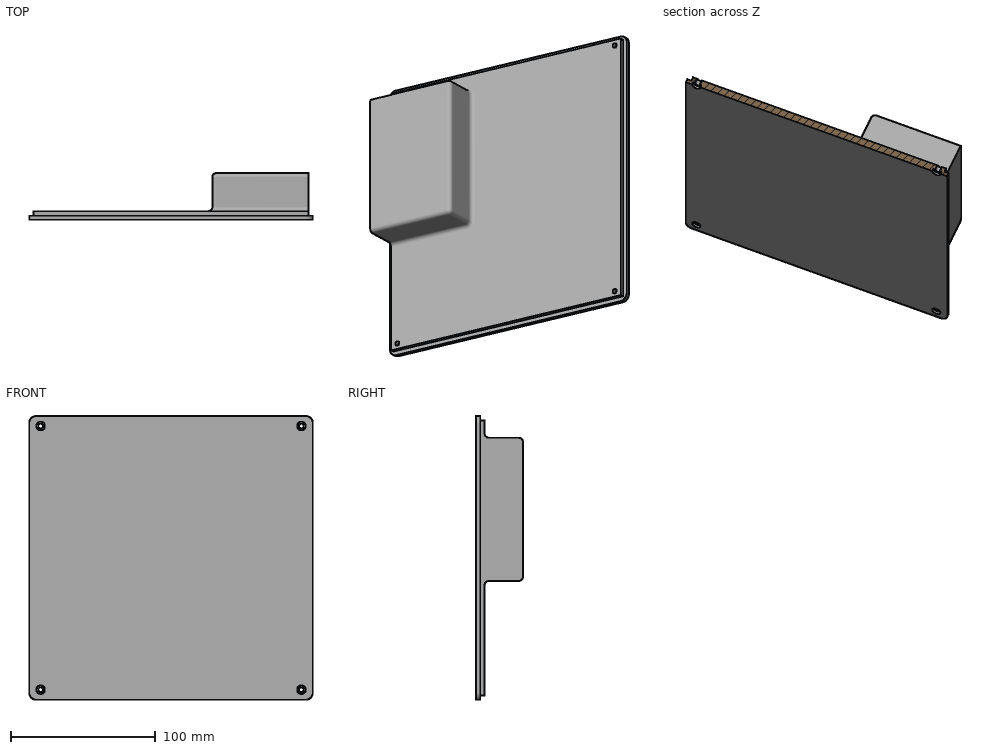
import cadquery as cq

plate_side = 196.0
plate_thickness = 3.0
plate_corner_radius = 5.0

step_inset = 3.0
step_thickness = 3.0
step_side = plate_side - 2 * step_inset
step_back = plate_thickness + step_thickness

total_depth = 32.5
box_length = 66.5
box_height = 99.0
box_center_z = 33.5
box_depth = total_depth - step_back
box_end_x = step_side / 2
box_start_x = box_end_x - box_length
box_center_x = box_end_x - box_length / 2
box_fillet = 3.0

hole_spacing_x = 180.0
hole_spacing_z = 182.0
hole_diameter = 3.2
counterbore_diameter = 6.0
counterbore_depth = 2.0

tolerance = 0.01


def block(size_x, size_z, depth, center_x, front_y, center_z):
    """Rectangular block growing toward +Y from the plane Y = front_y."""
    return (
        cq.Workplane("XY")
        .box(size_x, depth, size_z, centered=(True, False, True))
        .translate((center_x, front_y, center_z))
    )


def make_plate():
    plate = block(plate_side, plate_side, plate_thickness, 0, 0, 0)
    return plate.edges("|Y").fillet(plate_corner_radius)


def make_step():
    return block(step_side, step_side, step_thickness, 0, plate_thickness, 0)


def make_box():
    """Box with every edge rounded except those of its +X end and its base."""
    box = block(box_length, box_height, box_depth, box_center_x, step_back, box_center_z)
    rounded = box.edges("|Y and <X").fillet(box_fillet)
    return rounded.faces(">Y").edges("not >X").fillet(box_fillet)


def fillet_box_base(body):
    """Blend the foot of the box into the back of the step."""
    foot_region = cq.selectors.BoxSelector(
        (box_start_x - tolerance, step_back - tolerance, box_center_z - box_height / 2 - tolerance),
        (box_end_x - tolerance, step_back + tolerance, box_center_z + box_height / 2 + tolerance),
    )
    return body.edges(foot_region).fillet(box_fillet)


def cut_screw_holes(body):
    """Through holes, counterbored from the outer face."""
    return (
        body.copyWorkplane(cq.Workplane("XZ"))
        .rect(hole_spacing_x, hole_spacing_z, forConstruction=True)
        .vertices()
        .cboreHole(hole_diameter, counterbore_diameter, counterbore_depth)
    )


body = make_plate().union(make_step()).union(make_box())
result = cut_screw_holes(fillet_box_base(body))